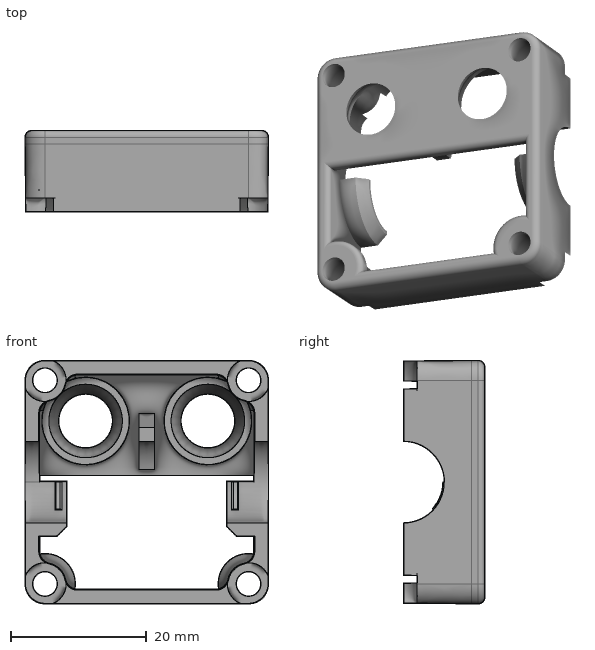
import cadquery as cq
import math

SIZE = 35.9
DEPTH = 12.0
FLOOR = 2.0
FLOOR_Y = DEPTH - FLOOR
BACK_FILLET = 1.0
OUTER_DRAFT = 0.5
INNER_DRAFT = 0.8

SCREW_PITCH = 30.0
SCREW_OFFSET = SCREW_PITCH / 2
SCREW_HOLE_R = 1.8
BOSS_R = 3.15
BOSS_BLEND_R = 1.8
FOOT_R = 4.5
FOOT_CONE_H = 1.5
NOTCH_R = 3.12
NOTCH_DEPTH = 2.0

CAVITY_HALF = 15.75
WINDOW_TOP = 0.97
WINDOW_FILLET = 0.8

EYE_OFFSET = 9.0
EYE_RIM_R = 6.45
EYE_BORE_R = 5.42
EYE_HOLE_R = 3.95
EYE_RIM_H = 2.48
EYE_BORE_DEPTH = 1.0

SHAFT_R = 6.0
SADDLE_R = SHAFT_R + 2.0
SADDLE_INNER_X = 11.77
SADDLE_CHAMFER = 1.47
SADDLE_TOP = 0.15
RIDGE_H = 0.2
RIDGE_INNER_X = 12.5
RIDGE_OUTER_X = 13.5
RIDGE_INNER_FLANK = 0.32
RIDGE_OUTER_FLANK = 0.15
RIDGE_ANGLE = 43.0

RIB_WIDTH = 2.25
RIB_TOP_FRONT = 8.05
RIB_TOP_FLOOR = 10.1
RIB_BOTTOM = 1.85

SIDES = (-1, 1)
CORNERS = [(sx * SCREW_OFFSET, sz * SCREW_OFFSET) for sx in SIDES for sz in SIDES]
EYES = [(sx * EYE_OFFSET, EYE_OFFSET) for sx in SIDES]


def plane_at(y):
    """Workplane at depth y, facing the open side."""
    return cq.Workplane("XZ", origin=(0, y, 0))


def revolve_about_x(points, angle):
    """Revolve an (x, radius) outline about the X axis, from +Y downwards."""
    outline = cq.Workplane("XY").polyline(points).close()
    return outline.revolve(angle, (0, 0, 0), (-1, 0, 0))


def outer_body():
    corner_r = SIZE / 2 - SCREW_OFFSET
    rounded = cq.Sketch().rect(SIZE, SIZE).vertices().fillet(corner_r)
    front = plane_at(FLOOR_Y).placeSketch(rounded).extrude(FLOOR_Y, taper=OUTER_DRAFT)
    back = plane_at(DEPTH).placeSketch(rounded).extrude(FLOOR)
    back = back.faces(">Y").edges().fillet(BACK_FILLET)
    return front.union(back)


def cavity():
    """Square pocket that leaves the blended screw bosses standing in its corners."""
    blend_center = CAVITY_HALF - BOSS_BLEND_R
    reach = BOSS_R + BOSS_BLEND_R
    offset = SCREW_OFFSET - blend_center
    along = math.sqrt(reach**2 - offset**2)
    blend_x = SCREW_OFFSET - along
    tangent = (
        SCREW_OFFSET - along * BOSS_R / reach,
        SCREW_OFFSET - offset * BOSS_R / reach,
    )
    to_wall = math.pi / 2
    to_boss = math.atan2(offset, along)
    middle = (to_wall + to_boss) / 2
    blend_mid = (
        blend_x + BOSS_BLEND_R * math.cos(middle),
        blend_center + BOSS_BLEND_R * math.sin(middle),
    )
    boss_mid = SCREW_OFFSET - BOSS_R * math.sqrt(0.5)

    def turned(point, quarter):
        x, z = point
        for _ in range(quarter):
            x, z = z, -x
        return x, z

    outline = plane_at(DEPTH).moveTo(-blend_x, CAVITY_HALF)
    for quarter in range(4):
        outline = (
            outline.lineTo(*turned((blend_x, CAVITY_HALF), quarter))
            .threePointArc(turned(blend_mid, quarter), turned(tangent, quarter))
            .threePointArc(turned((boss_mid, boss_mid), quarter), turned(tangent[::-1], quarter))
            .threePointArc(turned(blend_mid[::-1], quarter), turned((CAVITY_HALF, blend_x), quarter))
        )
    return outline.close().extrude(DEPTH, taper=-INNER_DRAFT)


def window():
    """Square continuation of the cavity through the floor, without the boss blends."""
    return plane_at(DEPTH).rect(2 * CAVITY_HALF, 2 * CAVITY_HALF).extrude(FLOOR, taper=-INNER_DRAFT)


def floor():
    """Floor slab above the window."""
    height = SIZE / 2 - WINDOW_TOP
    return plane_at(DEPTH).center(0, WINDOW_TOP + height / 2).rect(SIZE, height).extrude(FLOOR)


def boss_feet():
    base = plane_at(DEPTH).pushPoints(CORNERS).circle(FOOT_R).extrude(FLOOR)
    cones = plane_at(FLOOR_Y).pushPoints(CORNERS).circle(FOOT_R).extrude(FOOT_CONE_H, taper=45)
    return base.union(cones)


def eye_rims():
    return plane_at(FLOOR_Y).pushPoints(EYES).circle(EYE_RIM_R).extrude(EYE_RIM_H, taper=INNER_DRAFT)


def eye_cutters():
    rim_y = FLOOR_Y - EYE_RIM_H
    cone_y = rim_y + EYE_BORE_DEPTH
    profile = [(rim_y, 0), (rim_y, EYE_BORE_R), (cone_y, EYE_BORE_R), (DEPTH, EYE_HOLE_R), (DEPTH, 0)]
    cutter = cq.Workplane("YZ").polyline(profile).close().revolve(360, (0, 0, 0), (1, 0, 0))
    left, right = [cutter.translate((x, 0, z)) for x, z in EYES]
    return left.union(right)


def rib():
    """Central rib that ends on the shaft seat."""
    seat_y = math.sqrt(SHAFT_R**2 - RIB_BOTTOM**2)
    middle = (math.pi / 2 + math.asin(RIB_BOTTOM / SHAFT_R)) / 2
    seat_mid = (SHAFT_R * math.cos(middle), SHAFT_R * math.sin(middle))
    return (
        cq.Workplane("YZ", origin=(-RIB_WIDTH / 2, 0, 0))
        .moveTo(0, SHAFT_R)
        .threePointArc(seat_mid, (seat_y, RIB_BOTTOM))
        .lineTo(FLOOR_Y, RIB_BOTTOM)
        .lineTo(FLOOR_Y, RIB_TOP_FLOOR)
        .lineTo(0, RIB_TOP_FRONT)
        .close()
        .extrude(RIB_WIDTH)
    )


def mirrored_pair(solid):
    return solid.union(solid.mirror("YZ"))


def saddles():
    """Quarter shells under the shaft seat, chamfered at their inner ends."""
    wall_x = (CAVITY_HALF + SIZE / 2) / 2
    profile = [
        (SADDLE_INNER_X, SHAFT_R),
        (SADDLE_INNER_X, SADDLE_R - SADDLE_CHAMFER),
        (SADDLE_INNER_X + SADDLE_CHAMFER, SADDLE_R),
        (wall_x, SADDLE_R),
        (wall_x, SHAFT_R),
    ]
    top_lip = (
        cq.Workplane("XY")
        .polyline(profile)
        .close()
        .extrude(SADDLE_TOP)
    )
    return mirrored_pair(revolve_about_x(profile, 90).union(top_lip))


def ridges():
    crest_r = SHAFT_R - RIDGE_H
    profile = [
        (RIDGE_INNER_X, SHAFT_R),
        (RIDGE_INNER_X + RIDGE_INNER_FLANK, crest_r),
        (RIDGE_OUTER_X - RIDGE_OUTER_FLANK, crest_r),
        (RIDGE_OUTER_X, SHAFT_R),
    ]
    root_r = SHAFT_R + RIDGE_H
    profile += [(RIDGE_OUTER_X, root_r), (RIDGE_INNER_X, root_r)]
    return mirrored_pair(revolve_about_x(profile, RIDGE_ANGLE))


body = outer_body()
shell = body.cut(cavity()).cut(window()).union(floor().union(boss_feet()).intersect(body))
window_region = cq.selectors.BoxSelector(
    (-CAVITY_HALF - 0.35, DEPTH - 0.35, -CAVITY_HALF - 0.35),
    (CAVITY_HALF + 0.35, DEPTH + 0.35, WINDOW_TOP + 0.35),
)
shell = shell.faces(">Y").edges(window_region).fillet(WINDOW_FILLET)
result = shell.union(eye_rims())
result = result.cut(eye_cutters()).union(rib()).union(saddles())
result = result.cut(cq.Workplane("YZ").circle(SHAFT_R).extrude(SIZE, both=True))
result = result.union(ridges())
result = result.cut(plane_at(DEPTH).pushPoints(CORNERS).circle(SCREW_HOLE_R).extrude(DEPTH))
result = result.cut(plane_at(NOTCH_DEPTH).pushPoints(CORNERS).circle(NOTCH_R).extrude(NOTCH_DEPTH))